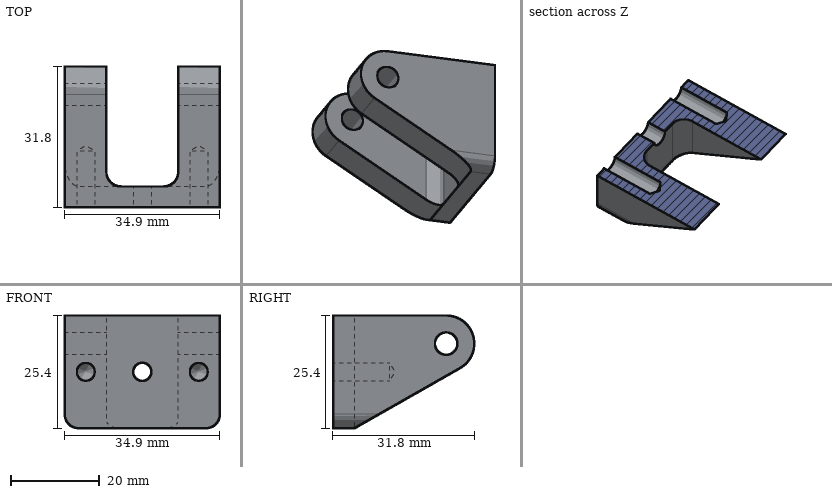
import cadquery as cq
import math

INCH = 25.4

width = 1.375 * INCH
height = 1.0 * INCH
ear_radius = 0.25 * INCH
pivot_y = 1.0 * INCH
pivot_z = height - ear_radius
pivot_hole_diameter = 5.0

plate_thickness = 0.1875 * INCH
slot_width = 16.1
slot_corner_radius = 0.125 * INCH

bottom_corner_radius = 0.125 * INCH
bottom_flat = plate_thickness

mount_hole_diameter = 4.04
mount_hole_offset = 0.5 * INCH
mount_hole_z = height / 2
blind_hole_depth = 0.5 * INCH
drill_point_angle = 118.0


def side_profile_body():
    """Side outline: a rounded ear end joined to the base by a tangent slope."""
    run = pivot_y - bottom_flat
    distance = math.hypot(run, pivot_z)
    slope = math.atan2(pivot_z, run) - math.asin(ear_radius / distance)
    tangent_y = pivot_y + ear_radius * math.sin(slope)
    tangent_z = pivot_z - ear_radius * math.cos(slope)
    return (
        cq.Workplane("YZ")
        .moveTo(0, 0)
        .lineTo(bottom_flat, 0)
        .lineTo(tangent_y, tangent_z)
        .threePointArc((pivot_y + ear_radius, pivot_z), (pivot_y, height))
        .lineTo(0, height)
        .close()
        .extrude(width / 2, both=True)
    )


def rounded_envelope():
    """Block with its two lower edges rounded along Y."""
    length = pivot_y + ear_radius
    return (
        cq.Workplane("XY")
        .box(width, length, height, centered=(True, False, False))
        .edges("|Y and <Z")
        .fillet(bottom_corner_radius)
    )


def ear_slot():
    """Full-height slot with rounded inner corners, open at the ear end."""
    length = pivot_y + ear_radius - plate_thickness
    return (
        cq.Workplane("XY")
        .box(slot_width, length, height, centered=(True, False, False))
        .edges("|Z and <Y")
        .fillet(slot_corner_radius)
        .translate((0, plate_thickness, 0))
    )


def pivot_hole():
    """Hole through both ears along X."""
    return (
        cq.Workplane("YZ")
        .center(pivot_y, pivot_z)
        .circle(pivot_hole_diameter / 2)
        .extrude(width / 2, both=True)
    )


def center_mount_hole():
    """Hole through the plate into the slot."""
    return (
        cq.Workplane("XZ")
        .center(0, mount_hole_z)
        .circle(mount_hole_diameter / 2)
        .extrude(-plate_thickness)
    )


def blind_mount_hole(x):
    """Drilled hole in an ear, ending in a conical drill point."""
    radius = mount_hole_diameter / 2
    point_length = radius / math.tan(math.radians(drill_point_angle / 2))
    return (
        cq.Workplane("XY")
        .polyline([
            (0, 0),
            (radius, 0),
            (radius, blind_hole_depth),
            (0, blind_hole_depth + point_length),
        ])
        .close()
        .revolve(360, (0, 0, 0), (0, 1, 0))
        .translate((x, 0, mount_hole_z))
    )


result = side_profile_body().intersect(rounded_envelope())
result = result.cut(ear_slot()).cut(pivot_hole()).cut(center_mount_hole())
for side in (-1, 1):
    result = result.cut(blind_mount_hole(side * mount_hole_offset))